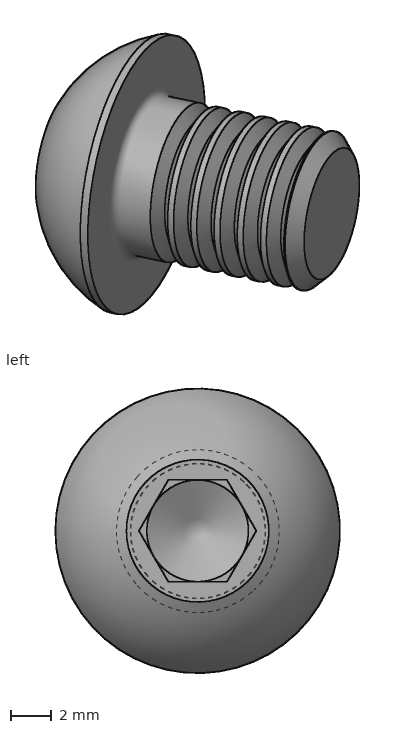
import cadquery as cq
import math

total_length = 14.4
head_diameter = 14.0
face_diameter = 7.0
head_height = 4.4
rim_width = 0.4

shank_diameter = 8.0
neck_fillet = 0.4
plain_end = 6.42
thread_pitch = 1.25
crest_width = 0.32
thread_depth = 0.68
full_grooves = 6
end_chamfer = 0.7

socket_flats = 5.0
socket_depth = 2.6
socket_tip_angle = 120.0

head_radius = head_diameter / 2
face_radius = face_diameter / 2
shank_radius = shank_diameter / 2
root_radius = shank_radius - thread_depth
dome_height = head_height - rim_width
flank_width = (thread_pitch - crest_width) / 2


def dome_midpoint():
    """Point halfway along the dome arc, whose centre lies on the screw axis."""
    centre_x = (dome_height**2 + head_radius**2 - face_radius**2) / (2 * dome_height)
    dome_radius = math.hypot(centre_x, face_radius)
    start_angle = math.atan2(face_radius, -centre_x)
    end_angle = math.atan2(head_radius, dome_height - centre_x)
    middle_angle = (start_angle + end_angle) / 2
    return (
        centre_x + dome_radius * math.cos(middle_angle),
        dome_radius * math.sin(middle_angle),
    )


def make_body():
    """Head and threaded shank, revolved; the thread is a row of V grooves."""
    profile = (
        cq.Workplane("XY")
        .lineTo(0, face_radius)
        .threePointArc(dome_midpoint(), (dome_height, head_radius))
        .lineTo(head_height, head_radius)
        .lineTo(head_height, shank_radius + neck_fillet)
        .radiusArc((head_height + neck_fillet, shank_radius), -neck_fillet)
    )
    for groove in range(full_grooves):
        groove_start = plain_end + groove * thread_pitch
        profile = (
            profile.lineTo(groove_start, shank_radius)
            .lineTo(groove_start + flank_width, root_radius)
            .lineTo(groove_start + 2 * flank_width, shank_radius)
        )
    profile = (
        profile.lineTo(total_length - end_chamfer, shank_radius)
        .lineTo(total_length, shank_radius - end_chamfer)
        .lineTo(total_length, 0)
        .close()
    )
    return profile.revolve(360, (0, 0, 0), (1, 0, 0))


def make_socket():
    """Hexagonal recess with flats facing +Z and -Z and a drilled conical bottom."""
    corner_diameter = socket_flats / math.cos(math.pi / 6)
    hexagon = cq.Workplane("YZ").polygon(6, corner_diameter).extrude(socket_depth)
    tip_radius = socket_flats / 2
    tip_length = tip_radius / math.tan(math.radians(socket_tip_angle / 2))
    tip = cq.Workplane("XY").add(
        cq.Solid.makeCone(
            tip_radius, 0, tip_length, cq.Vector(socket_depth, 0, 0), cq.Vector(1, 0, 0)
        )
    )
    return hexagon.union(tip)


result = make_body().cut(make_socket())